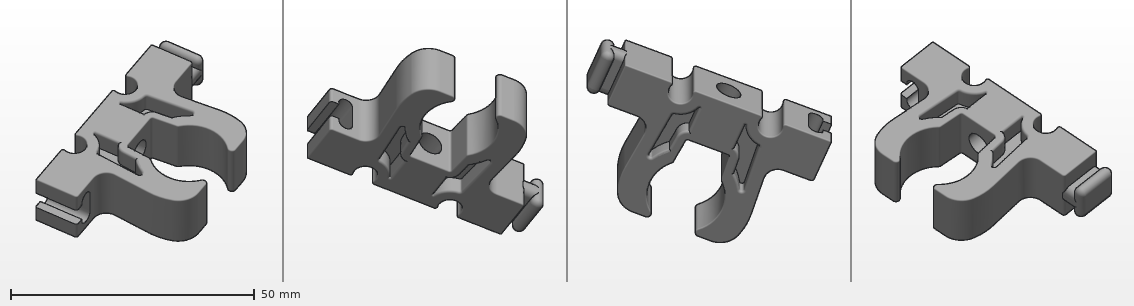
import cadquery as cq
import math

SPINE_WIDTH = 10.0
SPINE_HALF_LENGTH = 22.95
HEIGHT = 12.0
BACK_CORNER_RADIUS = 0.3
FRONT_CORNER_RADIUS = 0.6
FACE_EDGE_RADIUS = 0.3

NOTCH_RADIUS = 2.55
NOTCH_X = 1.5
NOTCH_Y = 10.0
NOTCH_LIP_RADIUS = 0.5

BORE_X = 23.0
BORE_RADIUS = 8.05
ARM_OUTER_RADIUS = 14.1
ARM_SHOULDER_X = 27.2
CLIP_REACH = 30.7
TIP_RADIUS = 0.9
ROOT_RADIUS = 3.0
ARM_SLOPE = math.radians(5)
THROAT_X = 11.0
THROAT_HALF_WIDTH = 4.85
THROAT_CORNER_RADIUS = 0.5
BORE_LIP_RADIUS = 0.75

POCKET_DEPTH = 4.0
POCKET_START_Y = 5.05
POCKET_THROAT_WALL = 2.05
POCKET_BORE_RADIUS = 11.1
POCKET_NOTCH_RADIUS = 5.15
POCKET_OUTER_WALL = 3.05
POCKET_CORNER_RADIUS = 0.5
POCKET_POINT_RADIUS = 0.1
POCKET_RIM_RADIUS = 0.55

FIXING_HOLE_DIAMETER = 5.4

TOTAL_LENGTH = 50.8
BAR_DIAMETER = 2.8
BAR_HEIGHT = 7.85
BAR_FILLET_GAP = 0.0005
NECK_HEIGHT = 4.0
NECK_CORNER_RADIUS = 1.5
NECK_OVERLAP = 0.5
SLOT_WIDTH = 3.25
SLOT_HEIGHT = 8.2
SLOT_MOUTH = 4.1
SLOT_Y = -19.4


def polar(center, radius, angle):
    return (center[0] + radius * math.cos(angle), center[1] + radius * math.sin(angle))


def angle_to(center, point):
    return math.atan2(point[1] - center[1], point[0] - center[0])


def arc(sketch, center, radius, start, end):
    """Extend the sketch along a circular arc between two angles."""
    middle = polar(center, radius, (start + end) / 2)
    return sketch.threePointArc(middle, polar(center, radius, end))


def throat_line_y(x):
    return THROAT_HALF_WIDTH + (x - THROAT_X) * math.tan(ARM_SLOPE)


def line_circle_x(y_at_center, radius):
    """Distance along X from a circle's centre to its left crossing with a line at the arm slope."""
    line_distance = y_at_center * math.cos(ARM_SLOPE)
    half_chord = math.sqrt(radius**2 - line_distance**2)
    return -line_distance * math.sin(ARM_SLOPE) - half_chord * math.cos(ARM_SLOPE)


BORE_CENTER = (BORE_X, 0)
OUTER_TANGENT_ANGLE = math.pi / 2 + ARM_SLOPE
OUTER_TANGENT = polar(BORE_CENTER, ARM_OUTER_RADIUS, OUTER_TANGENT_ANGLE)


def outer_line_y(x):
    return OUTER_TANGENT[1] + (x - OUTER_TANGENT[0]) * math.tan(ARM_SLOPE)


bore_lip_x = BORE_X + line_circle_x(throat_line_y(BORE_X), BORE_RADIUS)
bore_lip = (bore_lip_x, throat_line_y(bore_lip_x))


def round_upright_edges(solid, x, y, radius):
    """Fillet the upright edge standing at (x, y)."""
    reach = 0.05
    box = cq.selectors.BoxSelector((x - reach, y - reach, -HEIGHT), (x + reach, y + reach, HEIGHT))
    return solid.edges("|Z").edges(box).fillet(radius)


def make_arm():
    """The +Y clip arm, reaching into the spine at its root."""
    shoulder_angle = math.acos((ARM_SHOULDER_X - BORE_X) / ARM_OUTER_RADIUS)
    shoulder_radius = (CLIP_REACH - ARM_SHOULDER_X) / (1 - math.cos(shoulder_angle))
    shoulder_center = polar(BORE_CENTER, ARM_OUTER_RADIUS - shoulder_radius, shoulder_angle)
    tip_x = CLIP_REACH - TIP_RADIUS
    tip_angle = math.acos((tip_x - BORE_X) / (BORE_RADIUS + TIP_RADIUS))
    tip_center = polar(BORE_CENTER, BORE_RADIUS + TIP_RADIUS, tip_angle)
    lip_angle = angle_to(BORE_CENTER, bore_lip)

    sketch = cq.Workplane("XY", origin=(0, 0, -HEIGHT / 2))
    root_x = SPINE_WIDTH / 2
    sketch = sketch.moveTo(root_x, 0).lineTo(root_x, outer_line_y(root_x))
    sketch = sketch.lineTo(*OUTER_TANGENT)
    sketch = arc(sketch, BORE_CENTER, ARM_OUTER_RADIUS, OUTER_TANGENT_ANGLE, shoulder_angle)
    sketch = arc(sketch, shoulder_center, shoulder_radius, shoulder_angle, 0)
    sketch = sketch.lineTo(CLIP_REACH, tip_center[1])
    sketch = arc(sketch, tip_center, TIP_RADIUS, 0, tip_angle - math.pi)
    sketch = arc(sketch, BORE_CENTER, BORE_RADIUS, tip_angle, lip_angle)
    sketch = sketch.lineTo(THROAT_X, THROAT_HALF_WIDTH).lineTo(THROAT_X, 0).close()
    return sketch.extrude(HEIGHT)


def make_body():
    """Spine with both clip arms and the back notches, all upright corners rounded."""
    arm = make_arm()
    spine = cq.Workplane("XY").box(SPINE_WIDTH, 2 * SPINE_HALF_LENGTH, HEIGHT)
    body = spine.translate((SPINE_WIDTH / 2, 0, 0))
    body = body.union(arm).union(arm.mirror("XZ")).clean()
    notch_lip = math.sqrt(NOTCH_RADIUS**2 - NOTCH_X**2)
    notches = cq.Workplane("XY").pushPoints([(NOTCH_X, NOTCH_Y), (NOTCH_X, -NOTCH_Y)])
    body = body.cut(notches.circle(NOTCH_RADIUS).extrude(HEIGHT, both=True))
    for side in (1, -1):
        corners = [
            (0, SPINE_HALF_LENGTH, BACK_CORNER_RADIUS),
            (SPINE_WIDTH, SPINE_HALF_LENGTH, FRONT_CORNER_RADIUS),
            (SPINE_WIDTH, outer_line_y(SPINE_WIDTH), ROOT_RADIUS),
            (THROAT_X, THROAT_HALF_WIDTH, THROAT_CORNER_RADIUS),
            (*bore_lip, BORE_LIP_RADIUS),
            (0, NOTCH_Y + notch_lip, NOTCH_LIP_RADIUS),
            (0, NOTCH_Y - notch_lip, NOTCH_LIP_RADIUS),
        ]
        for x, y, radius in corners:
            body = round_upright_edges(body, x, side * y, radius)
    return body.faces("|Z").edges().fillet(FACE_EDGE_RADIUS)


def make_pocket():
    """The +Y pocket of the top face, an even wall away from throat, bore and notch."""
    notch_center = (NOTCH_X, NOTCH_Y)
    throat_corner_x = THROAT_X + THROAT_CORNER_RADIUS
    throat_corner_y = throat_line_y(throat_corner_x) - THROAT_CORNER_RADIUS / math.cos(ARM_SLOPE)
    throat_corner = (throat_corner_x, throat_corner_y)
    corner_radius = POCKET_THROAT_WALL + THROAT_CORNER_RADIUS
    corner_start_angle = math.pi - math.asin((POCKET_START_Y - throat_corner_y) / corner_radius)
    wall_rise = POCKET_THROAT_WALL / math.cos(ARM_SLOPE)
    bore_start_x = BORE_X + line_circle_x(throat_line_y(BORE_X) + wall_rise, POCKET_BORE_RADIUS)
    bore_start = (bore_start_x, throat_line_y(bore_start_x) + wall_rise)

    top_drop = POCKET_OUTER_WALL / math.cos(ARM_SLOPE)
    top_at_bore = outer_line_y(BORE_X) - top_drop
    bore_end_x = BORE_X + line_circle_x(top_at_bore, POCKET_BORE_RADIUS)
    bore_end = (bore_end_x, outer_line_y(bore_end_x) - top_drop)
    top_start_x = NOTCH_X + POCKET_NOTCH_RADIUS
    top_start = (top_start_x, outer_line_y(top_start_x) - top_drop)
    notch_end_angle = -math.pi / 2 + math.acos((NOTCH_Y - POCKET_START_Y) / POCKET_NOTCH_RADIUS)
    notch_end = polar(notch_center, POCKET_NOTCH_RADIUS, notch_end_angle)

    sketch = cq.Workplane("XY", origin=(0, 0, HEIGHT / 2 - POCKET_DEPTH)).moveTo(*notch_end)
    sketch = sketch.lineTo(*polar(throat_corner, corner_radius, corner_start_angle))
    sketch = arc(sketch, throat_corner, corner_radius, corner_start_angle, OUTER_TANGENT_ANGLE)
    sketch = sketch.lineTo(*bore_start)
    start, end = angle_to(BORE_CENTER, bore_start), angle_to(BORE_CENTER, bore_end)
    sketch = arc(sketch, BORE_CENTER, POCKET_BORE_RADIUS, start, end)
    sketch = sketch.lineTo(*top_start)
    notch_start_angle = angle_to(notch_center, top_start)
    sketch = arc(sketch, notch_center, POCKET_NOTCH_RADIUS, notch_start_angle, notch_end_angle)
    pocket = sketch.close().extrude(POCKET_DEPTH)
    for x, y in (bore_end, top_start):
        pocket = round_upright_edges(pocket, x, y, POCKET_CORNER_RADIUS)
    return round_upright_edges(pocket, *notch_end, POCKET_POINT_RADIUS)


def cut_pockets(body):
    """Cut the mirrored pockets into both faces and round their rims."""
    pocket = make_pocket()
    upper = pocket.union(pocket.mirror("XZ"))
    body = body.cut(upper).cut(upper.mirror("XY"))
    for face in (">Z", "<Z"):
        rims = body.faces(face).val().innerWires()
        body = body.newObject([edge for rim in rims for edge in rim.Edges()]).fillet(POCKET_RIM_RADIUS)
    return body


def make_connector():
    """Fully rounded bar on a neck at the +Y end."""
    bar_y = TOTAL_LENGTH - SPINE_HALF_LENGTH - BAR_DIAMETER / 2
    bar = cq.Workplane("XY").box(SPINE_WIDTH, BAR_DIAMETER, BAR_HEIGHT)
    bar = bar.edges().fillet(BAR_DIAMETER / 2 - BAR_FILLET_GAP)
    neck_start = SPINE_HALF_LENGTH - NECK_OVERLAP
    neck = cq.Workplane("XY").box(SPINE_WIDTH, bar_y - neck_start, NECK_HEIGHT)
    neck = neck.edges("|Y").fillet(NECK_CORNER_RADIUS)
    bar = bar.translate((SPINE_WIDTH / 2, bar_y, 0))
    return bar.union(neck.translate((SPINE_WIDTH / 2, (bar_y + neck_start) / 2, 0)))


def make_slot():
    """Through slot at the -Y end that takes the bar, with a mouth for the neck."""
    slot = cq.Workplane("YZ").center(SLOT_Y, 0).slot2D(SLOT_HEIGHT, SLOT_WIDTH, 90).extrude(SPINE_WIDTH)
    depth = SPINE_HALF_LENGTH + SLOT_Y
    mouth = cq.Workplane("YZ").center(SLOT_Y - depth / 2, 0).rect(depth, SLOT_MOUTH).extrude(SPINE_WIDTH)
    return slot.union(mouth)


fixing_hole = cq.Workplane("YZ").circle(FIXING_HOLE_DIAMETER / 2).extrude(THROAT_X)

result = cut_pockets(make_body())
result = result.cut(fixing_hole).cut(make_slot()).union(make_connector())